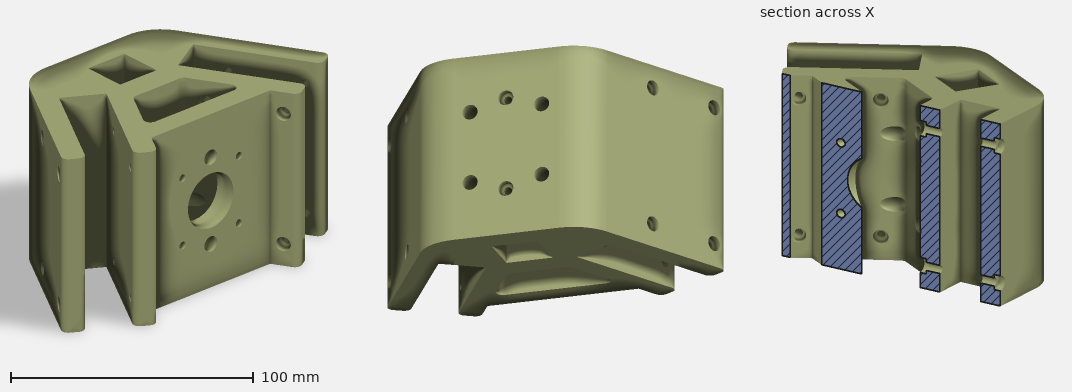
import cadquery as cq
import math

height = 80.0
mid_height = height / 2
arm_angle = 30
final_turn = -30

bar_size = 20.0
plate_thickness = 10.0
back_length = 69.0
arm_length = 78.4
slot_depth = 56.0
back_corner_radius = 20.0
small_radius = 3.0
slot_start = arm_length - slot_depth
arm_width = 2 * plate_thickness + bar_size

wall_thickness = 12.0
strut_thickness = 10.0
strut_outer = 76.9
strut_inner = strut_outer - strut_thickness
bar_hole_end = wall_thickness + bar_size
window_start = bar_hole_end + wall_thickness

screw_diameter = 3.4
head_diameter = 6.5
head_depth = 3.0
tip_to_screw = 7.0
screw_pitch = 34.0
screw_edge = 10.0
arm_screw_rise = mid_height - screw_edge
wall_screw_rise = 20.0

motor_bore = 25.0
motor_screw_pitch = 31.0
driver_hole_diameter = 7.0

cos_arm = math.cos(math.radians(arm_angle))
sin_arm = math.sin(math.radians(arm_angle))


def arm_point(along, inset):
    """Point on the upper arm: distance along it from the back corner, and in from its outer face."""
    x = along * cos_arm + inset * sin_arm
    y = back_length / 2 + along * sin_arm - inset * cos_arm
    return x, y


def inner_face_point(depth):
    """Point at a given depth on the innermost face of the upper arm."""
    along = (depth - arm_width * sin_arm) / cos_arm
    return arm_point(along, arm_width)


def mirrored(point):
    return point[0], -point[1]


def prism(points):
    return cq.Workplane("XY").polyline(points).close().extrude(height)


def symmetric_prism(upper_points):
    return prism(upper_points + [mirrored(p) for p in reversed(upper_points)])


def round_upright_edges(solid, upper_points, radius):
    """Fillet the vertical edges at the given points and at their mirror images."""
    for x, y in upper_points + [mirrored(p) for p in upper_points]:
        edge = cq.selectors.NearestToPointSelector((x, y, mid_height))
        solid = solid.edges("|Z").edges(edge).fillet(radius)
    return solid


def drill(point, direction_angle, z, diameter, depth):
    """Horizontal cutting cylinder starting at a point and running in the given plan direction."""
    angle = math.radians(direction_angle)
    direction = cq.Vector(math.cos(angle), math.sin(angle), 0)
    start = cq.Vector(point[0], point[1], z)
    return cq.Workplane(cq.Solid.makeCylinder(diameter / 2, depth, start, direction))


def counterbored(point, direction_angle, z, thickness):
    """Cutting shape of a screw hole with its head recess at the starting point."""
    screw = drill(point, direction_angle, z, screw_diameter, thickness)
    head = drill(point, direction_angle, z, head_diameter, head_depth)
    return screw.union(head)


back_corner = arm_point(0, 0)
slot_outer = plate_thickness
slot_inner = plate_thickness + bar_size
tips = [arm_point(arm_length, inset) for inset in (0, slot_outer, slot_inner, arm_width)]
body = symmetric_prism([
    back_corner,
    tips[0],
    tips[1],
    arm_point(slot_start, slot_outer),
    arm_point(slot_start, slot_inner),
    tips[2],
    tips[3],
    inner_face_point(strut_outer),
])
body = round_upright_edges(body, [back_corner], back_corner_radius)
body = round_upright_edges(body, tips, small_radius)

window_corners = [inner_face_point(window_start), inner_face_point(strut_inner)]
window = round_upright_edges(symmetric_prism(window_corners), window_corners, small_radius)
body = body.cut(window)

half_bar = bar_size / 2
body = body.cut(symmetric_prism([(wall_thickness, half_bar), (bar_hole_end, half_bar)]))

outward = arm_angle + 90
inward = arm_angle - 90
for side in (1, -1):
    for from_tip in (tip_to_screw, tip_to_screw + screw_pitch):
        for rise in (arm_screw_rise, -arm_screw_rise):
            z = mid_height + rise
            along = arm_length - from_tip
            for inset, direction in ((0, inward), (arm_width, outward)):
                x, y = arm_point(along, inset)
                body = body.cut(counterbored((x, side * y), side * direction, z, plate_thickness))

for rise in (wall_screw_rise, -wall_screw_rise):
    z = mid_height + rise
    body = body.cut(counterbored((0, 0), 0, z, wall_thickness))
    body = body.cut(counterbored((window_start, 0), 180, z, wall_thickness))
    body = body.cut(drill((strut_inner, 0), 0, z, driver_hole_diameter, strut_thickness))

body = body.cut(drill((strut_inner, 0), 0, mid_height, motor_bore, strut_thickness))
half_pitch = motor_screw_pitch / 2
for y in (half_pitch, -half_pitch):
    for z in (mid_height - half_pitch, mid_height + half_pitch):
        body = body.cut(drill((0, y), 0, z, head_diameter, strut_inner))
        body = body.cut(counterbored((strut_inner, y), 0, z, strut_thickness))

result = body.rotate((0, 0, 0), (0, 0, 1), final_turn)